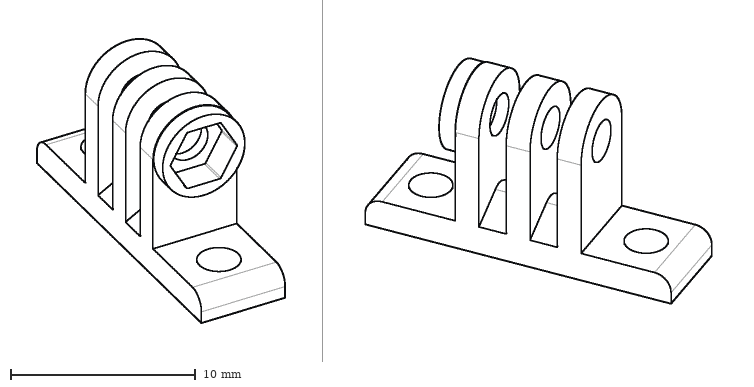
import cadquery as cq
import math

length = 18.3
width = 5.2
height = 10.1
base_height = 1.75
end_radius = 1.0

hole_diameter = 2.4
mount_spacing = 12.88

lug_thickness = 1.43
lug_pitch = 3.05
lug_count = 3
lug_radius = width / 2
pin_height = height - lug_radius

boss_diameter = 5.1
boss_length = 0.99
nut_across_flats = 3.6
nut_depth = 1.7
nut_corner_radius = 0.1

ridge_angle = 29.5
ridge_radius = 1.0

lug_span = (lug_count - 1) * lug_pitch + lug_thickness
boss_end = lug_span / 2 + boss_length


def make_base():
    """Plate with rounded upper end edges."""
    plate = cq.Workplane("XY").box(length, width, base_height, centered=(True, True, False))
    return plate.faces(">Z").edges("|Y").fillet(end_radius)


def make_lug(x_start):
    """Upright lug with a full-round top, starting at x_start."""
    return (
        cq.Workplane("YZ", origin=(x_start, 0, 0))
        .moveTo(-lug_radius, 0)
        .lineTo(-lug_radius, pin_height)
        .threePointArc((0, height), (lug_radius, pin_height))
        .lineTo(lug_radius, 0)
        .close()
        .extrude(lug_thickness)
    )


def make_boss():
    """Round boss on the pin axis, on the outer face of the last lug."""
    return (
        cq.Workplane("YZ", origin=(lug_span / 2, 0, pin_height))
        .circle(boss_diameter / 2)
        .extrude(boss_length)
    )


def make_ridge():
    """Gabled floor across the lug span, with its crest rounded."""
    crest_height = base_height + width / 2 * math.tan(math.radians(ridge_angle))
    gable = (
        cq.Workplane("YZ", origin=(-lug_span / 2, 0, 0))
        .polyline([
            (-width / 2, 0),
            (-width / 2, base_height),
            (0, crest_height),
            (width / 2, base_height),
            (width / 2, 0),
        ])
        .close()
        .extrude(lug_span)
    )
    return gable.edges(">Z").fillet(ridge_radius)


def make_mount_holes():
    """Cutters for the two vertical screw holes."""
    return (
        cq.Workplane("XY")
        .pushPoints([(-mount_spacing / 2, 0), (mount_spacing / 2, 0)])
        .circle(hole_diameter / 2)
        .extrude(base_height)
    )


def make_pin_hole():
    """Cutter for the pin hole through all lugs and the boss."""
    return (
        cq.Workplane("YZ", origin=(-lug_span / 2, 0, pin_height))
        .circle(hole_diameter / 2)
        .extrude(lug_span + boss_length)
    )


def make_nut_pocket():
    """Cutter for the hexagonal pocket, open at the boss end, with corners toward +Y and -Y."""
    across_corners = nut_across_flats / math.cos(math.radians(30))
    return (
        cq.Workplane("YZ", origin=(boss_end, 0, pin_height))
        .polygon(6, across_corners)
        .extrude(-nut_depth)
        .edges("|X")
        .fillet(nut_corner_radius)
    )


result = make_base().union(make_ridge())
for index in range(lug_count):
    result = result.union(make_lug(-lug_span / 2 + index * lug_pitch))
result = result.union(make_boss())
result = result.cut(make_mount_holes()).cut(make_pin_hole()).cut(make_nut_pocket())